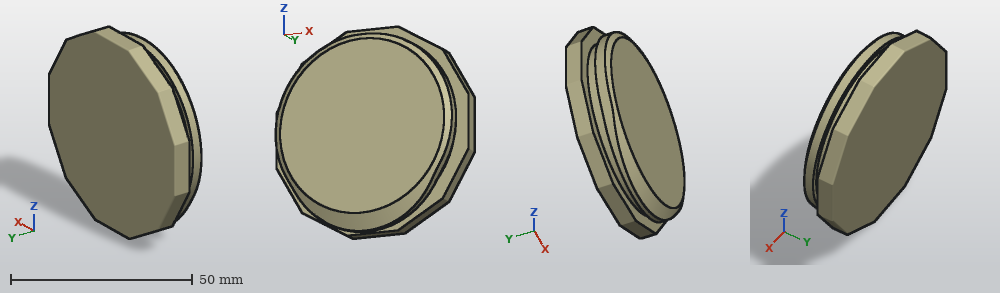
import cadquery as cq
import math

OVERALL_HEIGHT = 58.2

HEAD_SIDES = 12
HEAD_ACROSS_FLATS = 57.9
HEAD_THICKNESS = 5.0
HEAD_DRAFT = 1.0
HEAD_EDGE_RADIUS = 0.5

NECK_DIAMETER = 50.0
NECK_LENGTH = 3.0

FLANGE_THICKNESS = 4.0
SHOULDER_RADIUS = 25.8
SHOULDER_X = 0.8
SHOULDER_Z = 0.4
TANGENT_ANGLE = 30.0

FACE_RADIUS = 24.75
BEVEL_ANGLE = 30.0

LOWER_TIP = OVERALL_HEIGHT - HEAD_ACROSS_FLATS / 2

NECK_FRONT = -NECK_LENGTH
FLANGE_FRONT = NECK_FRONT - FLANGE_THICKNESS


def plane_at(y):
    """Workplane at the given Y whose normal points to +Y; local (x, y) is (X, -Z)."""
    return cq.Workplane("XZ", origin=(0, y, 0)).transformed(rotate=(180, 0, 0))


def make_head():
    across_corners = HEAD_ACROSS_FLATS / math.cos(math.pi / HEAD_SIDES)
    half_pitch = 180 / HEAD_SIDES
    head = (
        plane_at(0)
        .transformed(rotate=(0, 0, half_pitch))
        .polygon(HEAD_SIDES, across_corners)
        .extrude(HEAD_THICKNESS, taper=HEAD_DRAFT)
    )
    head = head.edges("not(#Y)").fillet(HEAD_EDGE_RADIUS)
    return head.faces(">Y").edges().fillet(HEAD_EDGE_RADIUS)


def make_neck():
    return plane_at(NECK_FRONT).circle(NECK_DIAMETER / 2).extrude(NECK_LENGTH)


def arc_point(center, radius, angle):
    """Point (X, Z) on a circle, with the angle in degrees measured from +X toward +Z."""
    turn = math.radians(angle)
    return (center[0] + radius * math.cos(turn), center[1] + radius * math.sin(turn))


def mirrored(point):
    return (-point[0], point[1])


def make_flange_outline():
    shoulder = (SHOULDER_X, SHOULDER_Z)

    tangent = math.radians(TANGENT_ANGLE)
    flat_offset = SHOULDER_RADIUS + SHOULDER_X * math.cos(tangent) - SHOULDER_Z * math.sin(tangent)
    lower_radius = (flat_offset - LOWER_TIP * math.sin(tangent)) / (1 - math.sin(tangent))
    lower_center = (0, lower_radius - LOWER_TIP)

    top = arc_point(shoulder, SHOULDER_RADIUS, 90)
    side = arc_point(shoulder, SHOULDER_RADIUS, 0)
    flat_start = arc_point(shoulder, SHOULDER_RADIUS, -TANGENT_ANGLE)
    flat_end = arc_point(lower_center, lower_radius, -TANGENT_ANGLE)

    return (
        cq.Workplane("XZ", origin=(0, NECK_FRONT, 0))
        .moveTo(*mirrored(top))
        .lineTo(*top)
        .threePointArc(side, flat_start)
        .lineTo(*flat_end)
        .threePointArc((0, -LOWER_TIP), mirrored(flat_end))
        .lineTo(*mirrored(flat_start))
        .threePointArc(mirrored(side), mirrored(top))
        .close()
    )


def make_bevel_cone():
    """Cone that widens from the front face; the flange keeps only what lies inside it."""
    back_radius = FACE_RADIUS + FLANGE_THICKNESS / math.tan(math.radians(BEVEL_ANGLE))
    return (
        cq.Workplane("XY")
        .moveTo(0, FLANGE_FRONT)
        .lineTo(FACE_RADIUS, FLANGE_FRONT)
        .lineTo(back_radius, NECK_FRONT)
        .lineTo(0, NECK_FRONT)
        .close()
        .revolve(360, (0, 0, 0), (0, 1, 0))
    )


def make_flange():
    return make_flange_outline().extrude(FLANGE_THICKNESS).intersect(make_bevel_cone())


result = make_head().union(make_neck()).union(make_flange())